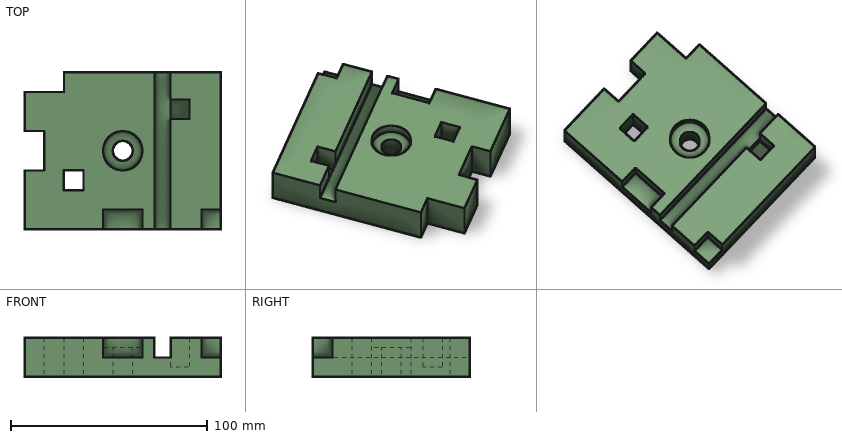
import cadquery as cq

length = 100
width = 80
height = 20
unit = 10
step_depth = height / 2

corner_notch_length = 20
corner_notch_width = unit
side_notch_depth = unit
side_notch_width = 20
side_notch_y = 30

square_hole_x = 20
square_hole_y = 20

bore_diameter = 10
counterbore_diameter = 20
counterbore_depth = 5

groove_x = 66.1
groove_width = 8.3
side_pocket_y = 56.1
side_pocket_length = 9.7
side_pocket_width = 10.1
side_pocket_depth = 15

front_pocket_length = 20
front_pocket_x = (length - front_pocket_length) / 2


def cutter(x, y, size_x, size_y, depth):
    """Box reaching down from the top face, with its lower left corner at (x, y)."""
    return cq.Workplane("XY").box(size_x, size_y, depth, centered=False).translate((x, y, height - depth))


result = cq.Workplane("XY").box(length, width, height, centered=False)

result = result.cut(
    cutter(0, width - corner_notch_width, corner_notch_length, corner_notch_width, height)
)
result = result.cut(cutter(0, side_notch_y, side_notch_depth, side_notch_width, height))
result = result.cut(cutter(square_hole_x, square_hole_y, unit, unit, height))

result = result.cut(cutter(groove_x, 0, groove_width, width, step_depth))
result = result.cut(cutter(front_pocket_x, 0, front_pocket_length, unit, step_depth))
result = result.cut(cutter(length - unit, 0, unit, unit, step_depth))

result = result.cut(
    cutter(
        groove_x + groove_width,
        side_pocket_y,
        side_pocket_length,
        side_pocket_width,
        side_pocket_depth,
    )
)

result = (
    result.copyWorkplane(cq.Workplane("XY", origin=(length / 2, width / 2, height)))
    .cboreHole(bore_diameter, counterbore_diameter, counterbore_depth)
)